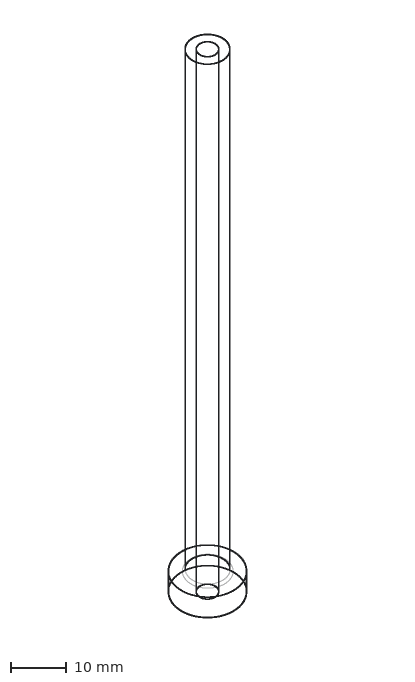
import cadquery as cq

total_length = 130.0
head_diameter = 14.0
head_height = 5.0
shaft_diameter = 8.0
bore_diameter = 4.0
neck_fillet_radius = 0.5


def sleeve_body():
    """Round head with a long coaxial shaft, blended at the neck."""
    head = cq.Workplane("XY").circle(head_diameter / 2).extrude(head_height)
    shaft = cq.Workplane("XY").circle(shaft_diameter / 2).extrude(total_length)
    neck_edge = cq.selectors.RadiusNthSelector(0)
    return (
        head.union(shaft)
        .faces("<Z[1]")
        .edges(neck_edge)
        .fillet(neck_fillet_radius)
    )


def bore():
    """Straight hole along the full length of the axis."""
    return cq.Workplane("XY").circle(bore_diameter / 2).extrude(total_length)


result = sleeve_body().cut(bore())